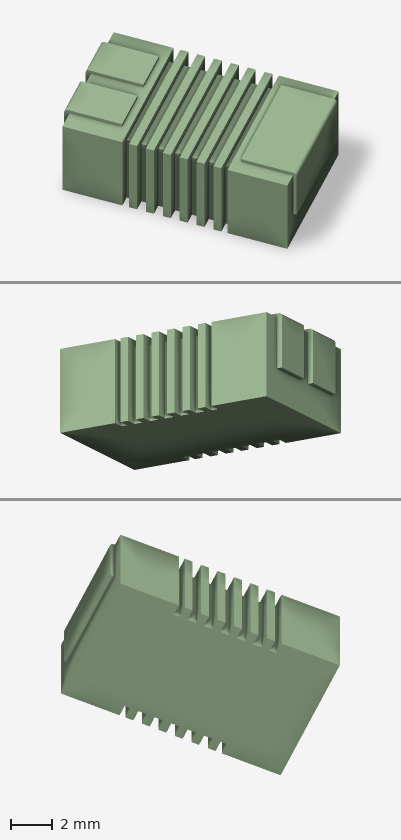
import cadquery as cq

bobbin_width = 6.98
bobbin_height = 4.25
bobbin_length = 11.59
end_block_length = 3.09
core_side_recess = 0.59
core_top_recess = 0.39

fin_count = 6
fin_thickness = 0.41
fin_pitch = 0.87
first_fin_gap = 0.35

overall_length = 12.06
terminal_top_thickness = 0.19
terminal_drop = 2.58
bend_radius = 0.19

small_leg_thickness = 0.28
small_top_reach = 2.7
small_width = 2.1
small_gap = 0.83

large_leg_thickness = overall_length - bobbin_length - small_leg_thickness
large_top_reach = 2.67
large_width = 5.49


def slab(x_start, length, width, height):
    """Box standing on Z = 0, centred in Y, starting at the given X."""
    return cq.Workplane("XY").box(length, width, height, centered=(False, True, False)).translate((x_start, 0, 0))


def make_bobbin():
    core_length = bobbin_length - 2 * end_block_length
    core_width = bobbin_width - 2 * core_side_recess
    body = slab(0, end_block_length, bobbin_width, bobbin_height)
    body = body.union(slab(end_block_length, core_length, core_width, bobbin_height - core_top_recess))
    body = body.union(slab(bobbin_length - end_block_length, end_block_length, bobbin_width, bobbin_height))
    for i in range(fin_count):
        fin_x = end_block_length + first_fin_gap + i * fin_pitch
        body = body.union(slab(fin_x, fin_thickness, bobbin_width, bobbin_height))
    return body


def make_terminal(edge_x, inward, leg_thickness, top_reach, width, center_y):
    """Folded strip on the end face at edge_x; inward is the X direction (+1 or -1) toward the core."""
    outer_x = edge_x - inward * leg_thickness
    inner_x = edge_x + inward * top_reach
    top_z = bobbin_height + terminal_top_thickness
    foot_z = bobbin_height - terminal_drop
    profile = (
        cq.Workplane("XZ", origin=(0, center_y, 0))
        .moveTo(outer_x, foot_z)
        .lineTo(outer_x, top_z - bend_radius)
        .tangentArcPoint((outer_x + inward * bend_radius, top_z), relative=False)
        .lineTo(inner_x, top_z)
        .lineTo(inner_x, bobbin_height)
        .lineTo(edge_x, bobbin_height)
        .lineTo(edge_x, foot_z)
        .close()
    )
    return profile.extrude(width / 2, both=True)


bobbin = make_bobbin()

small_terminals = []
for side in (-1, 1):
    small_center_y = side * (small_gap + small_width) / 2
    small_terminals.append(
        make_terminal(0, 1, small_leg_thickness, small_top_reach, small_width, small_center_y)
    )

large_terminal = make_terminal(bobbin_length, -1, large_leg_thickness, large_top_reach, large_width, 0)

result = cq.Compound.makeCompound(
    [bobbin.val(), *[terminal.val() for terminal in small_terminals], large_terminal.val()]
)